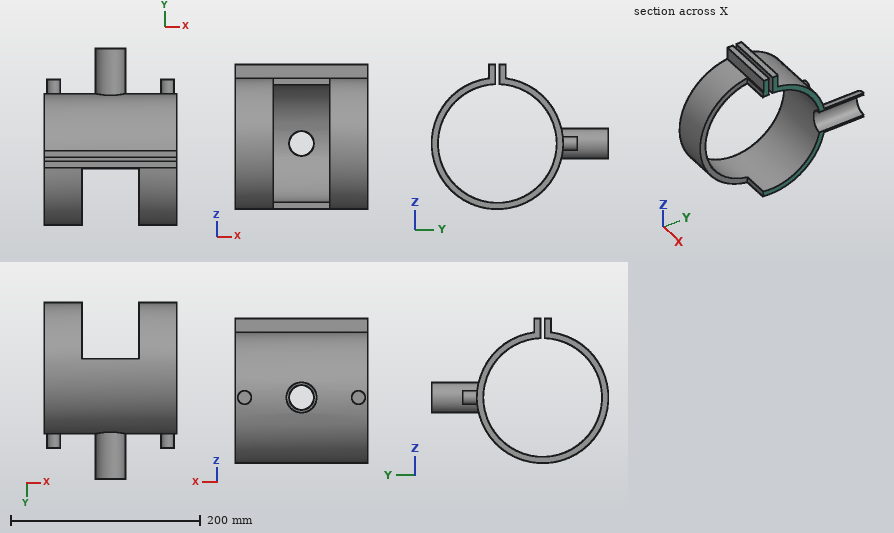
import cadquery as cq

width = 140.0
outer_radius = 69.5
wall = 7.0
inner_radius = outer_radius - wall

ear_top = 83.7
ear_gap = 4.1
ear_thickness = wall

window_width = 60.2
window_edge = 9.9

spigot_diameter = 32.0
spigot_bore = 26.0
spigot_end = 186.9 - outer_radius
peg_diameter = 14.2
peg_end = 84.5
peg_offset = 60.2


def cylinder_x(radius):
    return cq.Workplane("YZ").circle(radius).extrude(width / 2, both=True)


def rod_y(diameter, end, x=0):
    """Rod from the ring axis plane out to the given Y position."""
    return cq.Workplane("XZ").center(x, 0).circle(diameter / 2).extrude(-end)


ears_width = ear_gap + 2 * ear_thickness
ears = cq.Workplane("XY").rect(width, ears_width).extrude(ear_top)
body = cylinder_x(outer_radius).union(ears)

body = body.union(rod_y(spigot_diameter, spigot_end))
for side in (-1, 1):
    body = body.union(rod_y(peg_diameter, peg_end, side * peg_offset))

body = body.cut(cylinder_x(inner_radius))
body = body.cut(rod_y(spigot_bore, spigot_end))
body = body.cut(cq.Workplane("XY").rect(width, ear_gap).extrude(ear_top))

window = (
    cq.Workplane("XY")
    .box(window_width, outer_radius, 2 * outer_radius, centered=(True, False, True))
    .translate((0, -window_edge - outer_radius, 0))
)
result = body.cut(window)